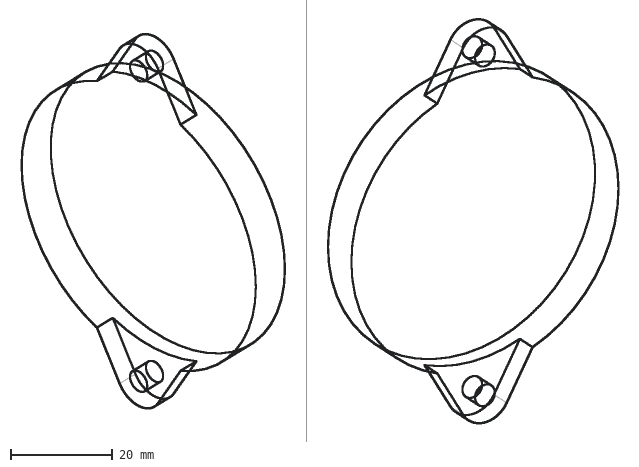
import cadquery as cq
import math

overall_height = 86.0
disc_diameter = 63.0
disc_thickness = 8.5
ear_thickness = 4.65
ear_tip_radius = 5.9
ear_side_angle = math.radians(30)
hole_diameter = 4.65

hole_offset = overall_height / 2 - ear_tip_radius

tangent_x = ear_tip_radius * math.cos(ear_side_angle)
tangent_z = hole_offset + ear_tip_radius * math.sin(ear_side_angle)
root_z = disc_diameter / 4
root_x = tangent_x + (tangent_z - root_z) * math.tan(ear_side_angle)


def extrude_back(sketch, thickness):
    """Extrude an XZ sketch from the front face at Y = 0 toward +Y."""
    return sketch.extrude(-thickness)


def ear(side):
    """Tapered mounting ear; side is +1 for the top and -1 for the bottom."""
    outline = (
        cq.Workplane("XZ")
        .moveTo(-root_x, side * root_z)
        .lineTo(-tangent_x, side * tangent_z)
        .threePointArc((0, side * overall_height / 2), (tangent_x, side * tangent_z))
        .lineTo(root_x, side * root_z)
        .close()
    )
    return extrude_back(outline, ear_thickness)


result = extrude_back(cq.Workplane("XZ").circle(disc_diameter / 2), disc_thickness)
for side in (1, -1):
    result = result.union(ear(side))

hole_centers = [(0, hole_offset), (0, -hole_offset)]
holes = cq.Workplane("XZ").pushPoints(hole_centers).circle(hole_diameter / 2)
result = result.cut(extrude_back(holes, ear_thickness))